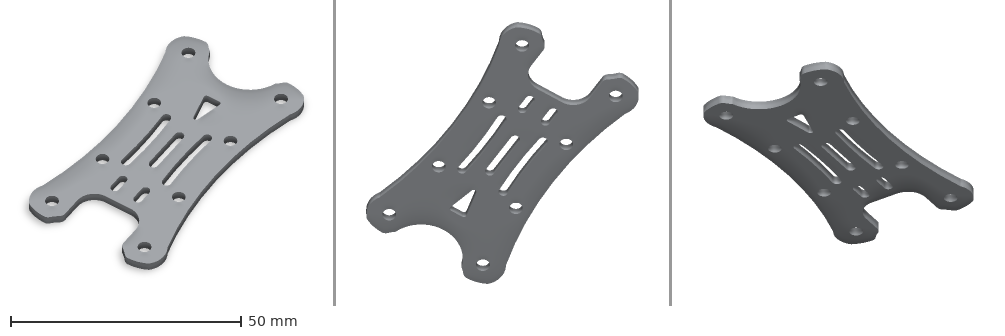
import cadquery as cq
import math

thickness = 2.0
half_length = 31.16
waist_half_width = 13.0

ear_hole_x = 12.125
ear_hole_y = 26.4
ear_radius = 5.0
ear_hole_diameter = 3.0
flank_end_y = 23.7
shoulder_x = 15.63
end_curve_radius = 10.0
crest_x = 10.97
crest_round_end = (9.81, 30.62)
inner_hollow_end_x = 8.64
inner_straight_angle = math.radians(36)
inner_round_radius = 1.6
inner_round_end_y = 27.96

round_cutout_radius = 9.05
round_cutout_bottom_y = 23.3
notch_half_width = 7.65
notch_top_y = -18.75
notch_corner_radius = 4.45

mount_pitch = 20.0
mount_hole_diameter = 2.95

slot_width = 2.1
center_slot_length = 12.1
curved_slot_x = 5.02
curved_slot_end_y = 7.85
small_slot_width = 2.0
small_slot_length = 5.0
small_slot_x = 3.0
small_slot_y = -14.0

window_top_y = 18.2
window_apex_y = 8.9
window_half_width = 2.25
window_corner_radius = 0.6


def ear_edge_x(y):
    """Half width of the plate on the ear's outer edge at height y."""
    return ear_hole_x + math.sqrt(ear_radius**2 - (y - ear_hole_y)**2)


flank_end_x = ear_edge_x(flank_end_y)
flank_depth = flank_end_x - waist_half_width
flank_radius = (flank_end_y**2 + flank_depth**2) / (2 * flank_depth)
flank_center_x = waist_half_width + flank_radius


def extrude(sketch):
    """Raise a flat outline to the plate thickness."""
    return sketch.extrude(thickness)


def quarter_plate():
    """One quarter of the plate (+X, +Y) before the end cutouts."""
    shoulder_rise = math.sqrt(ear_radius**2 - (shoulder_x - ear_hole_x)**2)
    round_start_x = notch_half_width + inner_round_radius * (1 - math.sin(inner_straight_angle))
    round_start_y = inner_round_end_y + inner_round_radius * math.cos(inner_straight_angle)
    straight_rise = (inner_hollow_end_x - round_start_x) * math.tan(inner_straight_angle)
    outline = (
        cq.Workplane("XY")
        .moveTo(0, 0)
        .lineTo(waist_half_width, 0)
        .radiusArc((flank_end_x, flank_end_y), flank_radius)
        .threePointArc(
            (ear_hole_x + ear_radius, ear_hole_y),
            (shoulder_x, ear_hole_y + shoulder_rise),
        )
        .radiusArc((crest_x, half_length), -end_curve_radius)
        .tangentArcPoint(crest_round_end, relative=False)
        .tangentArcPoint((inner_hollow_end_x, round_start_y + straight_rise), relative=False)
        .lineTo(round_start_x, round_start_y)
        .tangentArcPoint((notch_half_width, inner_round_end_y), relative=False)
        .lineTo(0, inner_round_end_y)
        .close()
    )
    return extrude(outline)


def full_plate():
    quarter = quarter_plate()
    half = quarter.union(quarter.mirror("YZ"))
    return half.union(half.mirror("XZ")).clean()


def round_cutout():
    center_y = round_cutout_bottom_y + round_cutout_radius
    return extrude(cq.Workplane("XY").center(0, center_y).circle(round_cutout_radius))


def notch():
    """Open notch in the -Y end with two rounded inner corners."""
    depth = half_length + notch_top_y
    block = (
        cq.Workplane("XY")
        .center(0, notch_top_y - depth / 2)
        .rect(2 * notch_half_width, depth)
    )
    return extrude(block).edges("|Z and >Y").fillet(notch_corner_radius)


def holes(spacing_x, spacing_y, diameter):
    pattern = cq.Workplane("XY").rect(spacing_x, spacing_y, forConstruction=True)
    return extrude(pattern.vertices().circle(diameter / 2))


def straight_slot(x, y, length, width):
    return extrude(cq.Workplane("XY").center(x, y).slot2D(length, width, 90))


def curved_slot():
    """Slot on the +X side, concentric with the hollow flank."""
    centerline_radius = flank_center_x - curved_slot_x
    inner_radius = centerline_radius - slot_width / 2
    outer_radius = centerline_radius + slot_width / 2
    end_angle = math.asin(curved_slot_end_y / centerline_radius)

    def point(radius, angle):
        return (flank_center_x - radius * math.cos(angle), radius * math.sin(angle))

    outline = (
        cq.Workplane("XY")
        .moveTo(*point(inner_radius, -end_angle))
        .threePointArc(point(inner_radius, 0), point(inner_radius, end_angle))
        .tangentArcPoint(point(outer_radius, end_angle), relative=False)
        .threePointArc(point(outer_radius, 0), point(outer_radius, -end_angle))
        .tangentArcPoint(point(inner_radius, -end_angle), relative=False)
        .close()
    )
    return extrude(outline)


def tapered_window():
    triangle = (
        cq.Workplane("XY")
        .moveTo(-window_half_width, window_top_y)
        .lineTo(window_half_width, window_top_y)
        .lineTo(0, window_apex_y)
        .close()
    )
    return extrude(triangle).edges("|Z").fillet(window_corner_radius)


result = full_plate().cut(round_cutout()).cut(notch())
result = result.cut(holes(2 * ear_hole_x, 2 * ear_hole_y, ear_hole_diameter))
result = result.cut(holes(mount_pitch, mount_pitch, mount_hole_diameter))
result = result.cut(straight_slot(0, 0, center_slot_length, slot_width))
result = result.cut(curved_slot()).cut(curved_slot().mirror("YZ"))
for side in (-1, 1):
    small_slot = straight_slot(side * small_slot_x, small_slot_y, small_slot_length, small_slot_width)
    result = result.cut(small_slot)
result = result.cut(tapered_window())